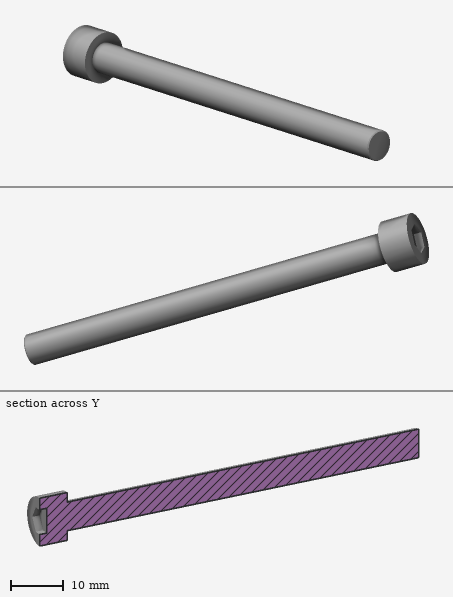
import cadquery as cq
import math

total_length = 81.0
shank_diameter = 6.0
head_diameter = 10.0
head_height = shank_diameter
shank_length = total_length - head_height
tip_chamfer = 0.2
socket_across_flats = 5.0
socket_depth = 1.5
socket_across_corners = socket_across_flats / math.cos(math.pi / 6)


def make_head():
    """Plain cylindrical head on the -X side."""
    return cq.Workplane("YZ").circle(head_diameter / 2).extrude(-head_height)


def make_shank():
    """Smooth shank with a chamfered tip."""
    shank = cq.Workplane("YZ").circle(shank_diameter / 2).extrude(shank_length)
    return shank.faces(">X").edges().chamfer(tip_chamfer)


def make_socket():
    """Hexagonal socket cutter with two corners pointing along Y."""
    return (
        cq.Workplane("YZ", origin=(-head_height, 0, 0))
        .polygon(6, socket_across_corners)
        .extrude(socket_depth)
    )


result = make_head().union(make_shank()).cut(make_socket())